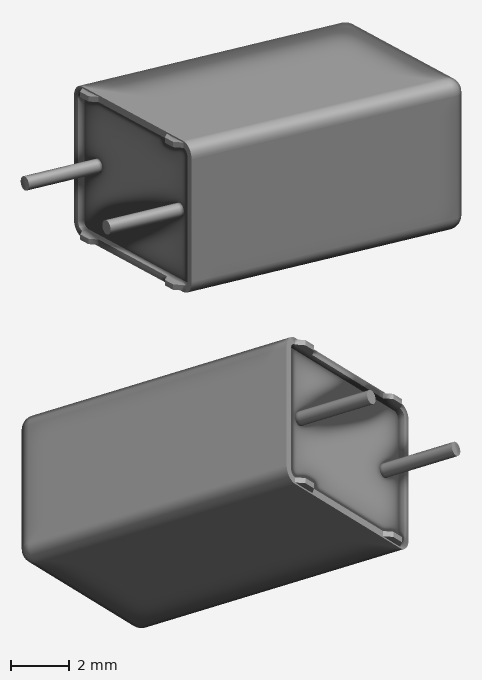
import cadquery as cq

width = 7.2
height = 5.5
wall = 0.25
corner_radius = 2 * wall
recess_depth = wall

tab_length = wall
tab_base_width = 1.01
tab_tip_width = tab_base_width - 2 * tab_length
tab_inset = 0.05
tab_thickness = wall - tab_inset
tab_x = width / 2 - corner_radius - tab_base_width / 2

pin_diameter = 0.5
pin_pitch = 5.0
pin_reach = 2.75

overall_length = 14.0
housing_length = overall_length - pin_reach


def make_shell():
    """Rounded box with a shallow recess inside the rim."""
    shell = (
        cq.Workplane("XY")
        .box(width, housing_length, height, centered=(True, False, True))
        .edges("|Y or >Y")
        .fillet(corner_radius)
    )
    recess = (
        cq.Workplane("XY")
        .box(width - 2 * wall, recess_depth, height - 2 * wall, centered=(True, False, True))
        .edges("|Y")
        .fillet(corner_radius - wall)
    )
    return shell.cut(recess)


def make_tab(x, side):
    """Trapezoidal standoff on the upper (side = 1) or lower (side = -1) rim."""
    z_center = side * (height / 2 - tab_inset - tab_thickness / 2)
    return (
        cq.Workplane("XY", origin=(x, 0, z_center))
        .moveTo(-tab_base_width / 2, 0)
        .lineTo(-tab_tip_width / 2, -tab_length)
        .lineTo(tab_tip_width / 2, -tab_length)
        .lineTo(tab_base_width / 2, 0)
        .close()
        .extrude(tab_thickness / 2, both=True)
    )


def make_housing():
    housing = make_shell()
    for x in (-tab_x, tab_x):
        for side in (-1, 1):
            housing = housing.union(make_tab(x, side))
    return housing


def make_pin(x):
    """Round lead standing on the recess floor and pointing towards -Y."""
    return (
        cq.Workplane("XZ", origin=(x, recess_depth, 0))
        .circle(pin_diameter / 2)
        .extrude(recess_depth + pin_reach)
    )


housing = make_housing()
pins = [make_pin(x) for x in (-pin_pitch / 2, pin_pitch / 2)]

result = cq.Compound.makeCompound([housing.val(), *[pin.val() for pin in pins]])